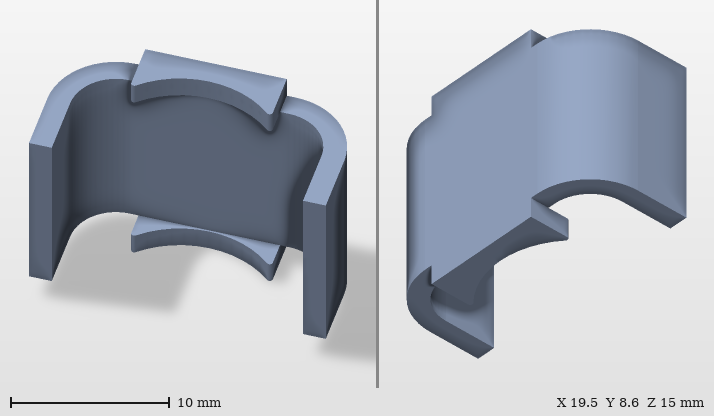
import math

import cadquery as cq

clip_width = 19.5
clip_depth = 8.6
clip_height = 12.0
wall = 1.5
outer_radius = 4.5
inner_radius = outer_radius - wall

tab_width = 9.3
tab_depth = 3.3
tab_thickness = 1.5
tab_web = 1.6
tip_radius = 0.2

half_height = clip_height / 2


def make_clip():
    """C-shaped band with a flat back, rounded corners and two straight arms."""
    inner_width = clip_width - 2 * wall
    outer = (
        cq.Workplane("XY", origin=(0, -clip_depth / 2, -half_height))
        .rect(clip_width, clip_depth)
        .extrude(clip_height)
        .edges("|Z and >Y")
        .fillet(outer_radius)
    )
    opening = (
        cq.Workplane("XY", origin=(0, -clip_depth / 2 - wall, -half_height))
        .rect(inner_width, clip_depth)
        .extrude(clip_height)
        .edges("|Z and >Y")
        .fillet(inner_radius)
    )
    return outer.cut(opening)


def make_tab(base_z):
    """Plate with a concave front edge and two rounded tips, standing on base_z."""
    half_width = tab_width / 2
    tip_x = half_width - tip_radius
    tip_y = tip_radius - tab_depth

    tip_drop = -tab_web - tip_y
    arc_radius = (tip_x**2 + tip_drop**2 - tip_radius**2) / (2 * (tip_drop + tip_radius))
    arc_center_y = -tab_web - arc_radius
    tangent_angle = math.atan2(tip_y - arc_center_y, tip_x)
    tangent_x = arc_radius * math.cos(tangent_angle)
    tangent_y = arc_center_y + arc_radius * math.sin(tangent_angle)

    return (
        cq.Workplane("XY", origin=(0, 0, base_z))
        .moveTo(-half_width, 0)
        .lineTo(half_width, 0)
        .lineTo(half_width, tip_y)
        .threePointArc((tip_x, -tab_depth), (tangent_x, tangent_y))
        .threePointArc((0, -tab_web), (-tangent_x, tangent_y))
        .threePointArc((-tip_x, -tab_depth), (-half_width, tip_y))
        .close()
        .extrude(tab_thickness)
    )


result = make_clip()
for base_z in (half_height, -half_height - tab_thickness):
    result = result.union(make_tab(base_z))